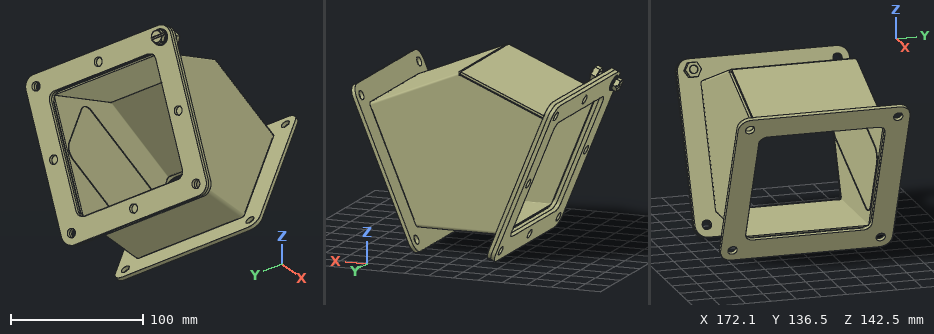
import cadquery as cq
import math

tilt = math.radians(22.5)

duct_size = 101.6
floor_length = 68.9
wall = 2.0
bend_radius = 2.5
seam_throat = 0.1

flange_size = 136.53
flange_thickness = 3.175
gasket_thickness = 3.175
frame_corner_radius = 9.525
opening_size = 100.2
opening_corner_radius = 6.35
hole_diameter = 7.14

screw_diameter = 6.35
screw_length = 19.7
head_flange_diameter = 11.6
head_flange_thickness = 0.7
head_across_flats = 9.525
head_height = 4.1
head_chamfer = 0.9
slot_width = 1.6
slot_depth = 1.6

washer_diameter = 12.7
washer_bore = 6.55
washer_thickness = 0.8

nut_across_flats = 11.11
nut_height = 4.6
nut_gap = 6.6

plate_thickness = 0.5
plate_length = 103.0
plate_height = 60.0
plate_corner_radius = 9.5
plate_end_margin = 1.0
plate_floor_margin = 11.0

bend_inner_radius = bend_radius - wall
seam_depth = wall - seam_throat
hole_offset = flange_size / 2 - frame_corner_radius

floor_end = floor_length / 2
shoulder_x = floor_end + duct_size * math.sin(tilt)
shoulder_z = duct_size * math.cos(tilt)
ridge_z = shoulder_z + shoulder_x * math.tan(tilt)

corner_holes = [(y, v) for y in (-hole_offset, hole_offset) for v in (-hole_offset, hole_offset)]
middle_holes = [(-hole_offset, 0), (hole_offset, 0), (0, -hole_offset), (0, hole_offset)]


def half_outline(roof_inset, floor_inset):
    """Left half of the elbow profile, with its roof and floor moved inward."""
    roof_x = shoulder_x - roof_inset * math.sin(tilt)
    roof_z = shoulder_z - roof_inset * math.cos(tilt)
    return [
        (0, floor_inset),
        (-floor_end - floor_inset * math.tan(tilt), floor_inset),
        (-roof_x, roof_z),
        (0, ridge_z - roof_inset / math.cos(tilt)),
    ]


def half_block(inset, radius):
    """Solid left half of the duct, rounded on both floor edges and on the -Y roof edge."""
    half_width = duct_size / 2 - inset
    block = (
        cq.Workplane("XZ")
        .polyline(half_outline(inset, inset)).close()
        .extrude(half_width, both=True)
    )
    floor_edges = block.faces("<Z").edges("|X")
    roof_edge = block.faces("<Y").edges(">Z")
    return floor_edges.add(roof_edge).fillet(radius)


def roof_seam():
    """Open step along the +Y edge of the left roof."""
    seam_floor = half_outline(seam_depth, 0)[2:]
    seam_top = half_outline(0, 0)[2:]
    return (
        cq.Workplane("XZ", origin=(0, duct_size / 2 - seam_depth, 0))
        .polyline(seam_floor + seam_top[::-1]).close()
        .extrude(-seam_depth)
    )


def ridge_seam():
    """Left half of the V groove where the square-cut roof ends meet."""
    bottom_z = ridge_z - seam_depth / math.cos(tilt)
    lip_x = -seam_depth * math.sin(tilt)
    lip_z = bottom_z + seam_depth * math.cos(tilt)
    return (
        cq.Workplane("XZ")
        .polyline([(0, bottom_z), (lip_x, lip_z), (0, ridge_z)]).close()
        .extrude(duct_size, both=True)
    )


def make_duct():
    """The right half is the left half turned half a turn about Z."""
    left = half_block(0, bend_radius).cut(half_block(wall, bend_inner_radius))
    left = left.cut(roof_seam()).cut(ridge_seam())
    right = left.rotate((0, 0, 0), (0, 0, 1), 180)
    return left.union(right)


def mouth_plane(side):
    """Plane on a duct mouth (side -1 left, +1 right): normal outward, local x along Y."""
    return cq.Plane(
        origin=(side * (floor_end + shoulder_x) / 2, 0, shoulder_z / 2),
        xDir=(0, 1, 0),
        normal=(side * math.cos(tilt), 0, -math.sin(tilt)),
    )


def frame_plate(side, offset, thickness, hole_points):
    """Square frame with rounded corners, lying at an offset outside a duct mouth."""
    plane = cq.Workplane(mouth_plane(side)).workplane(offset=offset)
    frame = (
        cq.Sketch()
        .rect(flange_size, flange_size).vertices().fillet(frame_corner_radius).reset()
        .face(
            cq.Sketch().rect(opening_size, opening_size).vertices().fillet(opening_corner_radius),
            mode="s",
        )
        .push(hole_points).circle(hole_diameter / 2, mode="s")
    )
    return plane.placeSketch(frame).extrude(thickness)


def fastener_plane(height):
    """Workplane across the screw axis at a height outside the left duct mouth."""
    plane = mouth_plane(-1)
    up = math.copysign(hole_offset, plane.yDir.z)
    return cq.Workplane(plane).workplane(offset=height).center(-hole_offset, up)


def hex_across_corners(across_flats):
    return across_flats / math.cos(math.pi / 6)


gasket_face = flange_thickness + gasket_thickness
washer_face = gasket_face + washer_thickness
head_flange_face = washer_face + head_flange_thickness
head_top = head_flange_face + head_height


def make_washer():
    return (
        fastener_plane(gasket_face)
        .circle(washer_diameter / 2).circle(washer_bore / 2)
        .extrude(washer_thickness)
    )


def make_screw():
    """Slotted hexagon screw with a round flange under its chamfered head."""
    head_width = hex_across_corners(head_across_flats)
    hexagon = fastener_plane(head_flange_face).polygon(6, head_width).extrude(head_height)
    chamfered_round = (
        fastener_plane(head_top)
        .circle(head_width / 2).extrude(-head_height)
        .faces("<X").edges().chamfer(head_chamfer)
    )
    slot = fastener_plane(head_top).rect(2 * head_width, slot_width).extrude(-slot_depth)
    head_flange = (
        fastener_plane(washer_face).circle(head_flange_diameter / 2).extrude(head_flange_thickness)
    )
    shank = fastener_plane(washer_face).circle(screw_diameter / 2).extrude(-screw_length)
    return hexagon.intersect(chamfered_round).cut(slot).union(head_flange).union(shank)


def make_nut():
    return (
        fastener_plane(-nut_gap)
        .polygon(6, hex_across_corners(nut_across_flats)).circle(screw_diameter / 2)
        .extrude(-nut_height)
    )


def make_plate():
    """Rounded plate square to the right mouth: local x runs into the duct, local y up the mouth."""
    plane = cq.Plane(
        origin=(floor_end, duct_size / 2 - wall, 0),
        xDir=(-math.cos(tilt), 0, math.sin(tilt)),
        normal=(0, 1, 0),
    )
    return (
        cq.Workplane(plane)
        .center(plate_end_margin + plate_length / 2, plate_floor_margin + plate_height / 2)
        .rect(plate_length, plate_height)
        .extrude(-plate_thickness)
        .edges("|Y").fillet(plate_corner_radius)
    )


duct = make_duct()
left_flange = frame_plate(-1, 0, flange_thickness, corner_holes)
right_flange = frame_plate(1, 0, flange_thickness, corner_holes)
gasket = frame_plate(-1, flange_thickness, gasket_thickness, corner_holes + middle_holes)
washer = make_washer()
screw = make_screw()
nut = make_nut()
plate = make_plate()

result = cq.Compound.makeCompound([
    duct.val(),
    left_flange.val(),
    right_flange.val(),
    gasket.val(),
    washer.val(),
    screw.val(),
    nut.val(),
    plate.val(),
])